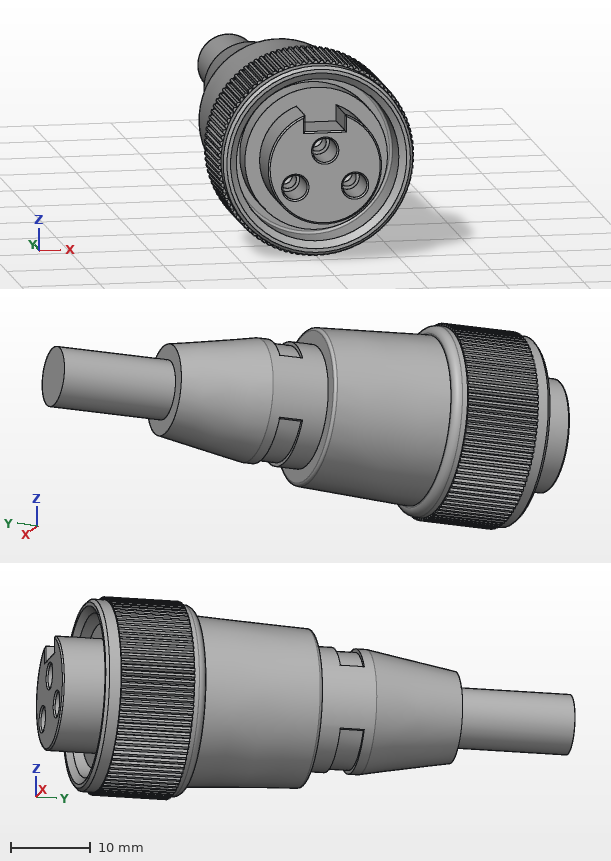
import cadquery as cq
import math


flange_front = 6.15
shoulder_y = 9.8
neck_end = 40.4
boot_end = 52.0
cable_end = 67.0

insert_radius = 7.25
insert_chamfer = 0.2
flange_radius = 9.1
neck_radius = 7.9
boot_end_radius = 5.8
cable_radius = 3.8

slot_width = 5.1
slot_floor_z = 4.7

socket_centres = [(0, 2.2), (-3.8, -2.4), (3.8, -2.4)]
socket_radius = 1.55
socket_chamfer = 0.2
socket_depth = 5.35
contact_radius = 1.15
contact_depth = 2.7

recess_start = 36.0
recess_width = 3.1
recess_depth = 0.5
recess_edge_z = 4.1

nut_front = 4.5
knurl_front = 6.35
knurl_rear = 15.8
ring_end = 17.55
shell_end = 32.95

ring_radius = 12.1
ring_chamfer = 0.4
ring_rear_fillet = 1.1
shell_front_radius = 10.85
shell_rear_radius = 10.05
shell_fillet = 0.4
mouth_radius = 11.25
bore_radius = 10.4
mouth_depth = 0.75
bore_fillet = 0.35

tooth_count = 100
tooth_tip_share = 0.4
knurl_diameter = 25.0
knurl_radius = knurl_diameter / 2


def revolve_about_y(outline):
    """Turn a closed outline drawn in (radius, Y) into a solid of revolution."""
    return outline.close().revolve(360, (0, 0, 0), (0, 1, 0))


def ring_between(inner_radius, outer_radius, start, length):
    """Tube along +Y that begins at Y = start."""
    section = cq.Workplane("XZ", origin=(0, start, 0)).circle(outer_radius).circle(inner_radius)
    return section.extrude(-length)


def make_insert():
    """Keyed mating insert, chamfered round its front outline and its key slot."""
    insert = cq.Workplane("XZ").circle(insert_radius).extrude(-flange_front)
    slot_height = insert_radius - slot_floor_z
    slot = cq.Workplane("XY").box(
        slot_width, flange_front, slot_height, centered=(True, False, False)
    ).translate((0, 0, slot_floor_z))
    return insert.cut(slot).faces("<Y").edges().chamfer(insert_chamfer)


def make_socket():
    """Volume removed by one contact socket: wide bore, then a contact bore with a 45 degree conical end."""
    contact_end = socket_depth + contact_depth
    return revolve_about_y(
        cq.Workplane("XY")
        .lineTo(socket_radius + socket_chamfer, 0)
        .lineTo(socket_radius, socket_chamfer)
        .lineTo(socket_radius, socket_depth)
        .lineTo(contact_radius, socket_depth)
        .lineTo(contact_radius, contact_end)
        .lineTo(0, contact_end + contact_radius)
    )


def make_grip_recesses():
    """Shallow bands removed from the neck above and below the middle."""
    band = ring_between(neck_radius - recess_depth, neck_radius, recess_start, recess_width)
    middle = cq.Workplane("XY").box(
        2 * neck_radius, recess_width, 2 * recess_edge_z, centered=(True, False, True)
    ).translate((0, recess_start, 0))
    return band.cut(middle)


def make_plug_body():
    """Mating insert, flange, neck, tapered boot and cable."""
    body = revolve_about_y(
        cq.Workplane("XY")
        .moveTo(0, flange_front)
        .lineTo(flange_radius, flange_front)
        .lineTo(flange_radius, shoulder_y)
        .lineTo(neck_radius, shoulder_y)
        .lineTo(neck_radius, neck_end)
        .lineTo(boot_end_radius, boot_end)
        .lineTo(cable_radius, boot_end)
        .lineTo(cable_radius, cable_end)
        .lineTo(0, cable_end)
    )
    body = body.union(make_insert()).cut(make_grip_recesses())
    socket = make_socket()
    for x, z in socket_centres:
        body = body.cut(socket.translate((x, 0, z)))
    return body


def knurl_point(radius, angle):
    """Corner of the knurl outline, given in polar form about the axis."""
    return (radius * math.cos(angle), radius * math.sin(angle))


def make_knurl():
    """Band of straight flat-topped teeth around the nut, with V-shaped grooves between them."""
    pitch = 2 * math.pi / tooth_count
    half_tip = pitch * tooth_tip_share / 2
    outline = []
    for i in range(tooth_count):
        tooth_angle = i * pitch
        outline.append(knurl_point(knurl_radius, tooth_angle - half_tip))
        outline.append(knurl_point(knurl_radius, tooth_angle + half_tip))
        outline.append(knurl_point(ring_radius, tooth_angle + pitch / 2))
    band = cq.Workplane("XZ", origin=(0, knurl_front, 0)).polyline(outline).close().circle(bore_radius)
    return band.extrude(knurl_front - knurl_rear)


def make_coupling_nut():
    """Knurled ring with an open mouth, and a tapered shell that closes on the neck."""
    nut = revolve_about_y(
        cq.Workplane("XY")
        .moveTo(mouth_radius, nut_front)
        .lineTo(ring_radius - ring_chamfer, nut_front)
        .lineTo(ring_radius, nut_front + ring_chamfer)
        .lineTo(ring_radius, ring_end - ring_rear_fillet)
        .radiusArc((ring_radius - ring_rear_fillet, ring_end), -ring_rear_fillet)
        .lineTo(shell_front_radius, ring_end)
        .lineTo(shell_rear_radius, shell_end)
        .lineTo(neck_radius, shell_end)
        .lineTo(neck_radius, shoulder_y)
        .lineTo(bore_radius - bore_fillet, shoulder_y)
        .radiusArc((bore_radius, shoulder_y - bore_fillet), bore_fillet)
        .lineTo(bore_radius, nut_front + mouth_depth)
    )
    rear_rim = cq.selectors.RadiusNthSelector(1)
    nut = nut.faces(">Y").edges(rear_rim).fillet(shell_fillet)
    return nut.union(make_knurl())


plug_body = make_plug_body()
coupling_nut = make_coupling_nut()

result = cq.Compound.makeCompound([plug_body.val(), coupling_nut.val()])